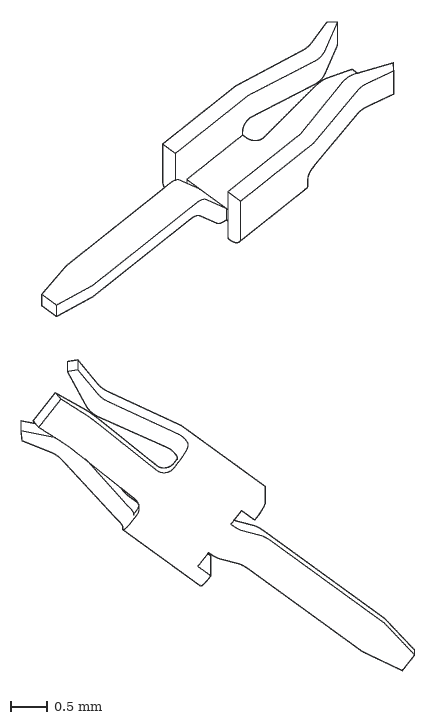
import cadquery as cq
import math

length = 6.34
width = 1.5
height = 1.0
sheet = 0.25
fold_radius = 0.2

blade_tip = length / 2
pin_tip = -length / 2
cage_front = 1.235
wall_back = -0.115
floor_back = 0.115
relief_radius = 0.17

blade_width = 0.5
tongue_width = 0.515
blade_root = 1.35
root_bend_radius = 0.215
crest_station = 2.555
crest_height = 0.51
crest_radius = 0.39
hollow_station = 2.555
hollow_height = 0.24
hollow_radius = 0.405
tip_height = 0.215
tip_drop = 0.11
tip_setback = 0.1

pin_bottom = 0.63
pin_top = pin_bottom + sheet
ramp_angle = math.radians(53)
pin_bend_radius = 0.235
taper_start = -2.56
pin_tip_width = 0.285


def box(x_range, y_range, z_range):
    """Box spanning the given X, Y and Z ranges."""
    spans = [high - low for low, high in (x_range, y_range, z_range)]
    return cq.Workplane("XY").box(*spans, centered=False).translate(
        (x_range[0], y_range[0], z_range[0])
    )


def fillet_bends(strip, bends):
    """Round the X-parallel edges of a bent strip at (Y, Z, radius) positions."""
    for y, z, radius in bends:
        nearest = cq.selectors.NearestToPointSelector((0, y, z))
        strip = strip.edges("|X").edges(nearest).fillet(radius)
    return strip


def bent_blade(span):
    """Bent strip on the floor plane, centred on X, reaching toward +Y."""
    outline = [
        (cage_front, 0),
        (blade_root, 0),
        (hollow_station, hollow_height),
        (blade_tip - tip_setback, tip_height - tip_drop),
        (blade_tip, tip_height),
        (crest_station, crest_height),
        (blade_root, sheet),
        (cage_front, sheet),
    ]
    strip = cq.Workplane("YZ").polyline(outline).close().extrude(span / 2, both=True)
    bends = [
        (crest_station, crest_height, crest_radius),
        (hollow_station, hollow_height, hollow_radius),
        (blade_root, 0, root_bend_radius),
        (blade_root, sheet, root_bend_radius),
    ]
    return fillet_bends(strip, bends)


def relief_prism(edge, side):
    """Upright prism filling the concave corner between a blade edge and the cage front."""
    arc_inset = relief_radius * (1 - math.sqrt(0.5))
    return (
        cq.Workplane("XY")
        .moveTo(edge, cage_front)
        .lineTo(edge + side * relief_radius, cage_front)
        .threePointArc(
            (edge + side * arc_inset, cage_front + arc_inset),
            (edge, cage_front + relief_radius),
        )
        .close()
        .extrude(height)
    )


def spring_blade(span, web_sides):
    """Blade with a concave web at its root on each listed side (-1 or 1)."""
    blade = bent_blade(span)
    wide_blade = bent_blade(span + 2 * relief_radius)
    for side in web_sides:
        blade = blade.union(wide_blade.intersect(relief_prism(side * span / 2, side)))
    return blade


def cage():
    """U-shaped channel: two walls folded up from a shorter floor."""
    half = width / 2
    body = box((-half, half), (wall_back, cage_front), (0, height))
    body = body.edges("|Y and <Z").fillet(fold_radius)
    inner = half - sheet
    body = body.cut(box((-inner, inner), (wall_back, cage_front), (sheet, height)))
    return body.cut(box((-inner, inner), (wall_back, floor_back), (0, sheet)))


def side_blade():
    """Blade on the -X wall, level with the wall's top edge, its web facing down."""
    return (
        spring_blade(blade_width, [1])
        .rotate((0, 0, 0), (0, 1, 0), 90)
        .translate((-width / 2, 0, height - blade_width / 2))
    )


def pin():
    """Pin raised from the floor by a ramp, with a tapered tip."""
    ramp_slope = math.tan(ramp_angle)
    ramp_top_end = floor_back - (pin_top - sheet) / ramp_slope
    bend_shift = sheet * math.tan(ramp_angle / 2)
    ramp_bottom_start = floor_back - bend_shift
    ramp_bottom_end = ramp_top_end - bend_shift
    outline = [
        (cage_front, 0),
        (ramp_bottom_start, 0),
        (ramp_bottom_end, pin_bottom),
        (pin_tip, pin_bottom),
        (pin_tip, pin_top),
        (ramp_top_end, pin_top),
        (floor_back, sheet),
        (cage_front, sheet),
    ]
    strip = cq.Workplane("YZ").polyline(outline).close().extrude(tongue_width / 2, both=True)
    bends = [
        (ramp_bottom_start, 0, pin_bend_radius),
        (ramp_bottom_end, pin_bottom, pin_bend_radius),
        (ramp_top_end, pin_top, pin_bend_radius),
    ]
    strip = fillet_bends(strip, bends)
    half = tongue_width / 2
    half_tip = pin_tip_width / 2
    plan = [
        (-half, cage_front),
        (-half, taper_start),
        (-half_tip, pin_tip),
        (half_tip, pin_tip),
        (half, taper_start),
        (half, cage_front),
    ]
    return strip.intersect(cq.Workplane("XY").polyline(plan).close().extrude(height))


tongue = spring_blade(tongue_width, [-1, 1])
left_blade = side_blade()
right_blade = left_blade.mirror("YZ")
result = cage().union(tongue).union(left_blade).union(right_blade).union(pin())